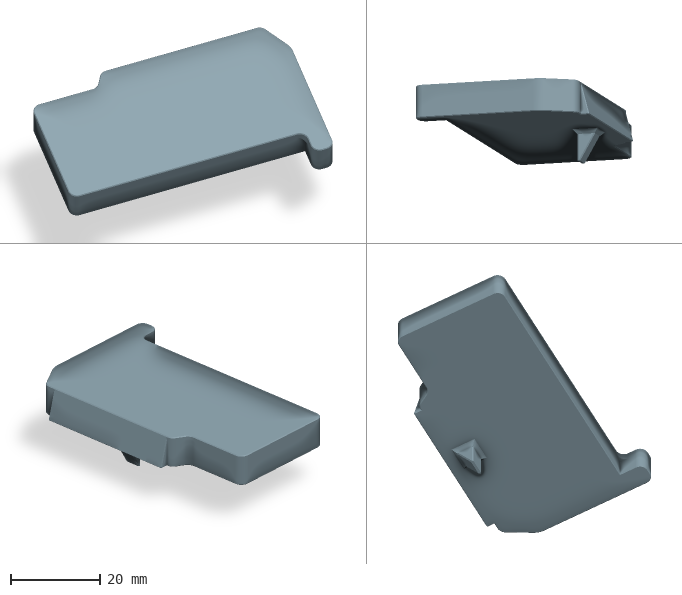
import cadquery as cq
import math

plate_thickness = 7.5
plate_length = 60.64
plate_left = 1.88
step_left = 5.75
plate_right = 33.0
arm_tip = 38.99
arm_width = 5.0
arm_underside = plate_length - arm_width
step_corner_y = 15.8
bevel_start_y = 56.25
slope_angle = math.radians(30)
corner_radius = 2.0
bevel_radius = 5.0
edge_break = 0.2

web_depth = 2.42
web_slope = math.radians(32)

wedge_start_y = 19.25
wedge_end_y = 53.6
wedge_edge_break = 0.2
wedge_embed = 1.0

latch_depth = 7.06
latch_right = 7.88
latch_tip_width = 0.6
latch_edge_break = 0.26
latch_start_y = 32.65
latch_end_y = 36.6
latch_slope = math.radians(30)
flare_height = 1.0
flare_reach = 0.9


def vertical_edge(x, y):
    """Select the upright plate edge standing at (x, y)."""
    reach = 0.1
    return cq.selectors.BoxSelector(
        (x - reach, y - reach, -reach),
        (x + reach, y + reach, plate_thickness + reach),
    )


def make_plate():
    """Plate with a bevelled corner, a stepped left side and an arm at the far right."""
    shoulder_y = step_corner_y + (step_left - plate_left) * math.tan(slope_angle)
    bevel_end_x = plate_left + (plate_length - bevel_start_y) / math.tan(slope_angle)
    sharp = 0
    corners = [
        (step_left, 0, corner_radius),
        (plate_right, 0, corner_radius),
        (plate_right, arm_underside, sharp),
        (arm_tip, arm_underside, corner_radius),
        (arm_tip, plate_length, corner_radius),
        (bevel_end_x, plate_length, bevel_radius),
        (plate_left, bevel_start_y, corner_radius),
        (plate_left, shoulder_y, corner_radius),
        (step_left, step_corner_y, corner_radius),
    ]
    outline = [(x, y) for x, y, _ in corners]
    plate = cq.Workplane("XY").polyline(outline).close().extrude(plate_thickness)
    for x, y, radius in corners:
        if radius > sharp:
            plate = plate.edges(vertical_edge(x, y)).fillet(radius)
    return plate


def make_corner_web():
    """Concave web that rounds the upper part of the corner between plate and arm."""
    web = (
        cq.Workplane("XY")
        .moveTo(plate_right, arm_underside)
        .lineTo(plate_right, arm_underside - corner_radius)
        .radiusArc((plate_right + corner_radius, arm_underside), corner_radius)
        .close()
        .extrude(plate_thickness)
    )
    web_bottom = plate_thickness - web_depth
    keep = (
        cq.Workplane("YZ", origin=(plate_right, 0, 0))
        .moveTo(arm_underside, web_bottom)
        .lineTo(arm_underside, plate_thickness)
        .lineTo(arm_underside - corner_radius, plate_thickness)
        .lineTo(arm_underside - corner_radius, web_bottom + corner_radius * math.tan(web_slope))
        .close()
        .extrude(corner_radius)
    )
    return web.intersect(keep)


def make_wedge():
    """Tapered rail on the left side, set slightly into the plate."""
    wedge_top = plate_thickness - edge_break
    return (
        cq.Workplane("XZ", origin=(0, wedge_end_y, 0))
        .moveTo(plate_left + wedge_embed, 0)
        .lineTo(wedge_edge_break, 0)
        .lineTo(0, wedge_edge_break)
        .lineTo(plate_left, wedge_top)
        .lineTo(plate_left + wedge_embed, wedge_top)
        .close()
        .extrude(wedge_end_y - wedge_start_y)
        .faces("|Y")
        .edges()
        .chamfer(wedge_edge_break)
    )


def make_latch():
    """Downward hook with a sloped left face and a flared foot at the plate."""
    latch_length = latch_end_y - latch_start_y
    latch_middle_y = (latch_start_y + latch_end_y) / 2
    tip_left = latch_right - latch_tip_width
    root_left = tip_left - latch_depth * math.tan(latch_slope)
    hook = (
        cq.Workplane("XZ", origin=(0, latch_end_y, 0))
        .moveTo(root_left, 0)
        .lineTo(latch_right, 0)
        .lineTo(latch_right, -latch_depth)
        .lineTo(tip_left, -latch_depth)
        .close()
        .extrude(latch_length)
        .faces("|Y")
        .edges("not |X")
        .chamfer(latch_edge_break)
    )
    neck_left = root_left + flare_height * math.tan(latch_slope)
    neck_middle_x = (neck_left + latch_right) / 2
    neck_width = latch_right - neck_left
    foot = (
        cq.Workplane("XY", origin=(neck_middle_x, latch_middle_y, -flare_height))
        .rect(neck_width, latch_length)
        .workplane(offset=flare_height)
        .rect(neck_width + 2 * flare_reach, latch_length + 2 * flare_reach)
        .loft(ruled=True)
    )
    return hook.union(foot)


plate = make_plate().union(make_corner_web())
plate = plate.faces(">Z or <Z").edges().chamfer(edge_break)
result = plate.union(make_wedge()).union(make_latch())